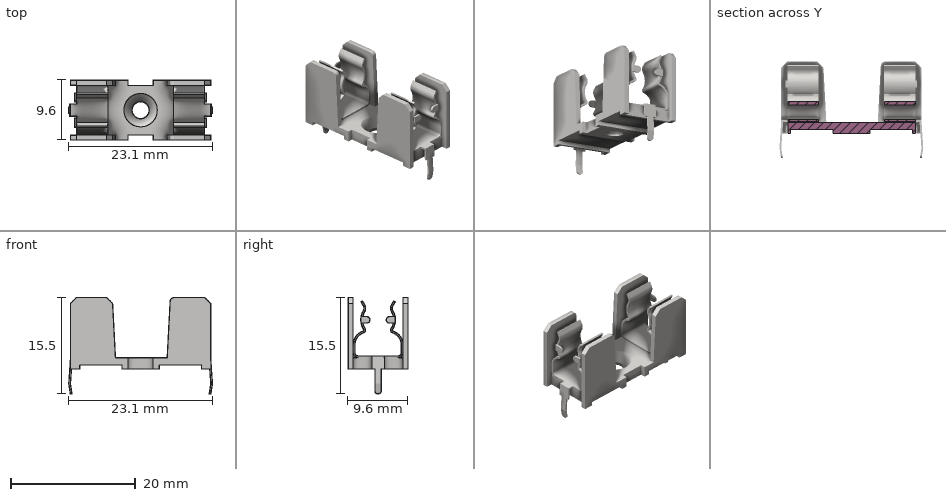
import cadquery as cq
import math

body_length = 22.57
body_width = 9.6
body_height = 11.5
wall_thickness = 0.8
floor_top = 1.82
floor_length = 20.55
wall_draft = math.radians(3)
left_gap = 4.02
right_gap = 4.25
corner_chamfer = 1.0
corner_radius = 0.7
foot_height = 0.62
end_foot_length = 1.52
middle_foot_length = 6.0
side_notch_length = 4.0
hole_diameter = 2.7
countersink_diameter = 5.35
countersink_half_angle = math.radians(45)

sheet = 0.3
clip_inner_x = 5.25
clip_outer_x = floor_length / 2
clip_length = clip_outer_x - clip_inner_x
fuse_radius = 2.5
fuse_height = 7.9
waist_half_gap = 1.99
upper_waist_radius = 1.0
lower_waist_radius = 0.3
floor_bend_radius = 0.62
shoulder_height = 3.93
lip_length = 0.72

ear_reach = 2.77
ear_tip = 1.3
ear_width = 1.09

tab_width = 2.0
leg_width = 1.06
overall_length = 23.1
leg_bottom = -4.0
leg_kink_height = -2.35
leg_top_x = 11.25
leg_tip_x = 11.3

inner_half_width = body_width / 2 - wall_thickness
half_sheet = sheet / 2


def block(x_size, y_size, z_low, z_high):
    """Box centred on X and Y between two heights."""
    box = cq.Workplane("XY").box(x_size, y_size, z_high - z_low, centered=(True, True, False))
    return box.translate((0, 0, z_low))


def make_guard_walls():
    """The -Y pair of walls, joined by the floor edge, copied to the +Y side."""
    end_x = body_length / 2
    lean = (body_height - floor_top) * math.tan(wall_draft)
    chamfer_drop = corner_chamfer * math.tan(wall_draft)
    left_top_x = left_gap + lean
    right_top_x = right_gap + lean
    outline = (
        cq.Workplane("XZ")
        .moveTo(-end_x, 0)
        .lineTo(-end_x, body_height - corner_chamfer)
        .lineTo(-end_x + corner_chamfer, body_height)
        .lineTo(-left_top_x + chamfer_drop - corner_chamfer, body_height)
        .lineTo(-left_top_x + chamfer_drop, body_height - corner_chamfer)
        .lineTo(-left_gap, floor_top)
        .lineTo(right_gap, floor_top)
        .lineTo(right_top_x, body_height)
        .lineTo(end_x - corner_chamfer, body_height)
        .lineTo(end_x, body_height - corner_chamfer)
        .lineTo(end_x, 0)
        .close()
    )
    wall = outline.extrude(wall_thickness)
    inner_corner = cq.selectors.NearestToPointSelector((right_top_x, -wall_thickness / 2, body_height))
    wall = wall.edges(inner_corner).fillet(corner_radius)
    front_wall = wall.translate((0, -inner_half_width, 0))
    back_wall = wall.translate((0, body_width / 2, 0))
    return front_wall.union(back_wall)


def make_body():
    body = block(floor_length, 2 * inner_half_width, 0, floor_top).union(make_guard_walls())

    recess_start = middle_foot_length / 2
    recess_length = body_length / 2 - end_foot_length - recess_start
    recess = block(recess_length, body_width, 0, foot_height)
    notch = block(side_notch_length, wall_thickness, 0, floor_top)
    for side in (-1, 1):
        body = body.cut(recess.translate((side * (recess_start + recess_length / 2), 0, 0)))
        body = body.cut(notch.translate((0, side * (body_width - wall_thickness) / 2, 0)))

    screw_hole = cq.Workplane("XY").circle(hole_diameter / 2).extrude(floor_top)
    countersink_depth = (countersink_diameter - hole_diameter) / 2 / math.tan(countersink_half_angle)
    countersink = cq.Solid.makeCone(
        hole_diameter / 2,
        countersink_diameter / 2,
        countersink_depth,
        cq.Vector(0, 0, floor_top - countersink_depth),
    )
    return body.cut(screw_hole).cut(cq.Workplane(countersink))


def clip_bends():
    """Mid-thickness bends of the +Y clip arm, from the floor up to the lip.

    Each bend is (centre y, centre z, radius, start angle, end angle, wall side),
    where wall side is +1 if the face towards the wall has the larger radius.
    """
    upright_y = inner_half_width - half_sheet
    waist_y = waist_half_gap + half_sheet
    seat_radius = fuse_radius + half_sheet

    lower_y = waist_y + lower_waist_radius
    lower_angle = -math.acos(lower_y / (seat_radius + lower_waist_radius))
    lower_z = fuse_height + lower_y * math.tan(lower_angle)
    upper_y = waist_y + upper_waist_radius
    upper_angle = math.acos(upper_y / (seat_radius + upper_waist_radius))
    upper_z = fuse_height + upper_y * math.tan(upper_angle)

    inset = upright_y - lower_y
    rise = lower_z - shoulder_height
    shoulder_radius = (
        (inset**2 + rise**2 - lower_waist_radius**2) / (2 * (inset + lower_waist_radius))
    )
    shoulder_y = upright_y - shoulder_radius
    shoulder_angle = math.atan2(rise, lower_y - shoulder_y)

    floor_bend_y = upright_y - floor_bend_radius
    floor_bend_z = floor_top + half_sheet + floor_bend_radius
    half_turn = math.pi
    return [
        (floor_bend_y, floor_bend_z, floor_bend_radius, -half_turn / 2, 0, 1),
        (shoulder_y, shoulder_height, shoulder_radius, 0, shoulder_angle, 1),
        (lower_y, lower_z, lower_waist_radius, shoulder_angle + half_turn, lower_angle + half_turn, -1),
        (0, fuse_height, seat_radius, lower_angle, upper_angle, 1),
        (upper_y, upper_z, upper_waist_radius, upper_angle + half_turn, half_turn - upper_angle, -1),
    ]


def bend_point(bend, offset, angle):
    centre_y, centre_z, radius, _, _, wall_side = bend
    face_radius = radius + wall_side * offset
    return (centre_y + face_radius * math.cos(angle), centre_z + face_radius * math.sin(angle))


def lip_end(bend, offset):
    """End of the straight lip that leaves the last bend tangentially."""
    end_angle = bend[4]
    y, z = bend_point(bend, offset, end_angle)
    return (y + lip_length * math.sin(end_angle), z - lip_length * math.cos(end_angle))


def add_arc(profile, bend, offset, start, end):
    """Continue the profile along one face of a bend."""
    middle = (start + end) / 2
    return profile.threePointArc(bend_point(bend, offset, middle), bend_point(bend, offset, end))


def make_clip_arm():
    """The +Y half of one clip, with its inner end at X = 0."""
    bends = clip_bends()
    floor_bend, shoulder, last_bend = bends[0], bends[1], bends[-1]
    floor_bend_start, upright_start = floor_bend[3:5]
    upright_end = shoulder[3]

    profile = cq.Workplane("YZ").moveTo(0, floor_top)
    profile = profile.lineTo(*bend_point(floor_bend, half_sheet, floor_bend_start))
    profile = add_arc(profile, floor_bend, half_sheet, floor_bend_start, upright_start)
    profile = profile.lineTo(*bend_point(shoulder, half_sheet, upright_end))
    for bend in bends[1:]:
        profile = add_arc(profile, bend, half_sheet, *bend[3:5])
    profile = profile.lineTo(*lip_end(last_bend, half_sheet))
    profile = profile.lineTo(*lip_end(last_bend, -half_sheet))
    profile = profile.lineTo(*bend_point(last_bend, -half_sheet, last_bend[4]))
    for bend in reversed(bends[1:]):
        profile = add_arc(profile, bend, -half_sheet, bend[4], bend[3])
    profile = profile.lineTo(*bend_point(floor_bend, -half_sheet, upright_start))
    profile = add_arc(profile, floor_bend, -half_sheet, upright_start, floor_bend_start)
    return profile.lineTo(0, floor_top + sheet).close().extrude(clip_length)


def make_ear():
    """Round-ended stop on the outer end of the +Y clip arm."""
    tip_radius = ear_width / 2
    return (
        cq.Workplane("YZ")
        .moveTo(ear_reach, fuse_height - tip_radius)
        .lineTo(ear_tip + tip_radius, fuse_height - tip_radius)
        .threePointArc((ear_tip, fuse_height), (ear_tip + tip_radius, fuse_height + tip_radius))
        .lineTo(ear_reach, fuse_height + tip_radius)
        .close()
        .extrude(sheet)
    )


def make_leg():
    """Tab on the clip floor that turns down into a kinked, round-ended leg."""
    tab_top = floor_top + sheet
    kink_x = overall_length / 2
    strip = (
        cq.Workplane("XZ")
        .moveTo(clip_outer_x, tab_top)
        .lineTo(leg_top_x, tab_top)
        .lineTo(kink_x, leg_kink_height)
        .lineTo(leg_tip_x, leg_bottom)
        .lineTo(leg_tip_x - sheet, leg_bottom)
        .lineTo(kink_x - sheet, leg_kink_height)
        .lineTo(leg_top_x - sheet, floor_top)
        .lineTo(clip_outer_x, floor_top)
        .close()
        .extrude(tab_width / 2, both=True)
    )
    tip_radius = leg_width / 2
    front_shape = (
        cq.Workplane("YZ")
        .moveTo(-tab_width / 2, tab_top)
        .lineTo(-tab_width / 2, 0)
        .lineTo(-tip_radius, 0)
        .lineTo(-tip_radius, leg_bottom + tip_radius)
        .threePointArc((0, leg_bottom), (tip_radius, leg_bottom + tip_radius))
        .lineTo(tip_radius, 0)
        .lineTo(tab_width / 2, 0)
        .lineTo(tab_width / 2, tab_top)
        .close()
        .extrude(overall_length)
    )
    return strip.intersect(front_shape)


def make_clip():
    """Complete clip for the +X end."""
    arm = make_clip_arm().translate((clip_inner_x, 0, 0))
    ear = make_ear().translate((clip_outer_x, 0, 0))
    half_clip = arm.union(ear)
    return half_clip.union(half_clip.mirror("XZ")).union(make_leg())


clip = make_clip()
result = make_body().union(clip).union(clip.mirror("YZ"))